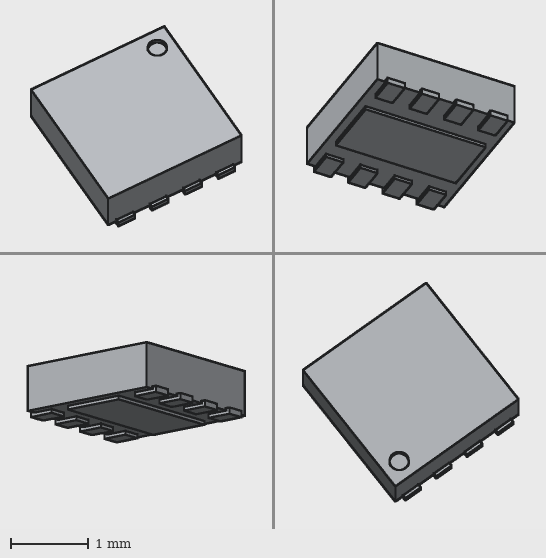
import cadquery as cq


overall_length = 2.1
overall_height = 0.65
housing_side = 2.0
standoff = 0.05
housing_height = overall_height - standoff

leads_per_side = 4
lead_pitch = 0.5
lead_width = 0.25
lead_length = 0.35
lead_thickness = 0.085
lead_offset = (overall_length - lead_length) / 2

pad_width = 0.85
pad_length = (leads_per_side - 1) * lead_pitch + lead_width

mark_diameter = 0.25
mark_depth = 0.06
mark_inset = 0.25


def block(length, width, height, x=0, y=0, z=0):
    """Box centred on (x, y) with its underside at z."""
    return cq.Workplane("XY").box(length, width, height, centered=(True, True, False)).translate((x, y, z))


def make_lead(side, row):
    """Lead on the side -1 or +1 in X; rows count up in Y."""
    y = (row - (leads_per_side - 1) / 2) * lead_pitch
    return block(lead_length, lead_width, lead_thickness, side * lead_offset, y)


def make_thermal_pad():
    return block(pad_width, pad_length, standoff)


def make_housing(leads):
    """Square housing with a round pin-one recess and pockets for the leads."""
    housing = block(housing_side, housing_side, housing_height, z=standoff)
    mark_position = housing_side / 2 - mark_inset
    mark = (
        cq.Workplane("XY", origin=(-mark_position, mark_position, overall_height - mark_depth))
        .circle(mark_diameter / 2)
        .extrude(mark_depth)
    )
    housing = housing.cut(mark)
    for lead in leads:
        housing = housing.cut(lead)
    return housing


leads = [make_lead(side, row) for side in (-1, 1) for row in range(leads_per_side)]
thermal_pad = make_thermal_pad()
housing = make_housing(leads)

result = cq.Compound.makeCompound([housing.val(), thermal_pad.val(), *[lead.val() for lead in leads]])